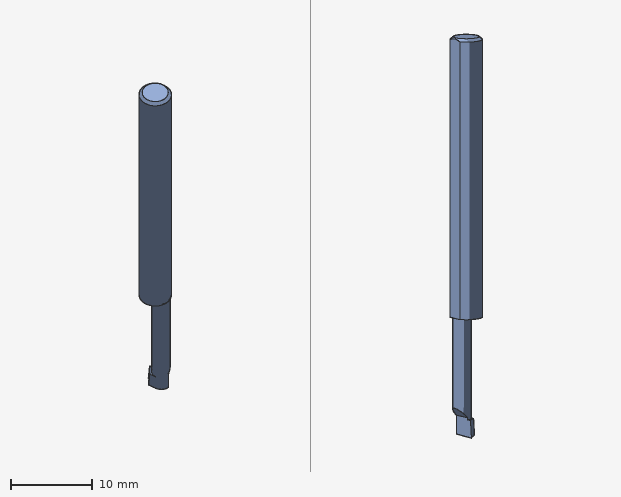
import cadquery as cq

total_length = 50
shank_radius = 2
shank_start = 15
flat_y = 1.75
chamfer_radial = 0.4
chamfer_height = 0.35

neck_radius = 1.15
neck_x = shank_radius - neck_radius

ramp_low = 2.45
ramp_high = 3.6

head_height = 2.2
tip_x = -1.05
flank_lean = 0.2
flank_bulge_x = 0.375
flank_bulge_y = -0.4
flank_end_x = 0.55
flank_end_y = -0.75
heel_x = 0.85

relief_slope_x = 0.03
relief_slope_y = 0.13

cut_size = 10


def make_shank():
    """Round bar with a chamfered top and a flat along its +Y side."""
    length = total_length - shank_start
    bar = cq.Workplane("XY").workplane(offset=shank_start).circle(shank_radius).extrude(length)
    bar = bar.faces(">Z").chamfer(chamfer_height, chamfer_radial)
    flat = (
        cq.Workplane("XY", origin=(0, flat_y, shank_start))
        .rect(cut_size, cut_size)
        .extrude(length)
        .translate((0, cut_size / 2, 0))
    )
    return bar.cut(flat)


def make_neck():
    """Offset round neck, halved to y = 0 below a sloping runout."""
    neck = cq.Workplane("XY").center(neck_x, 0).circle(neck_radius).extrude(shank_start)
    clearance = (
        cq.Workplane("YZ")
        .polyline([(0, 0), (0, ramp_low), (neck_radius, ramp_high), (cut_size, ramp_high), (cut_size, 0)])
        .close()
        .extrude(cut_size, both=True)
    )
    return neck.cut(clearance)


def head_wire(edge_x, z):
    """Head section at height z with its cutting edge at edge_x."""
    outline = (
        cq.Workplane("XY", origin=(0, 0, z))
        .moveTo(edge_x, 0)
        .threePointArc((edge_x + flank_bulge_x, flank_bulge_y), (edge_x + flank_end_x, flank_end_y))
        .lineTo(edge_x + heel_x, -neck_radius)
        .lineTo(neck_x, -neck_radius)
        .lineTo(neck_x, 0)
        .close()
    )
    return outline.val()


def make_head():
    """Cutting head lofted between its end and its back shoulder."""
    bottom = head_wire(tip_x, 0)
    top = head_wire(tip_x + flank_lean, head_height)
    return cq.Workplane(cq.Solid.makeLoft([bottom, top], True))


def make_end_relief():
    """Material below the end plane, which rises from the tip towards +X and -Y."""
    end_plane = cq.Plane(
        origin=(tip_x, 0, 0),
        xDir=(1, 0, relief_slope_x),
        normal=(-relief_slope_x, relief_slope_y, 1),
    )
    return cq.Workplane(end_plane).rect(cut_size, cut_size).extrude(-cut_size)


result = make_shank().union(make_neck()).union(make_head()).cut(make_end_relief())